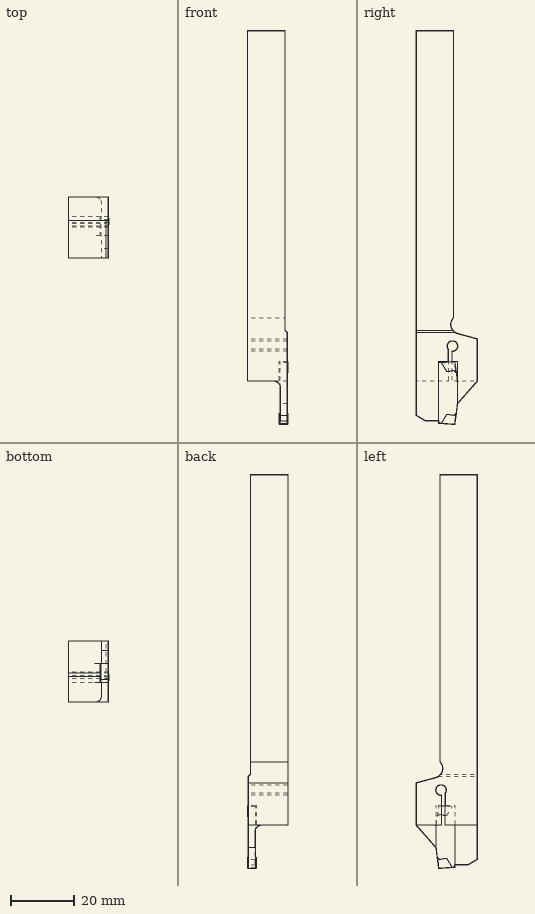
import cadquery as cq
import math

total_length = 125.0
shank_width = 12.0
shank_depth = 11.9

head_side = 12.8
head_depth = 19.4
head_bottom = 13.8
side_step_z = 29.9
blade_thickness = 2.2
blade_face = head_side - blade_thickness
blade_fillet = 2.0
blade_end_z = 1.1
blade_corner_y = 3.0
blade_corner_z = 2.9
jaw_tip_z = 6.6

groove_radius = 3.0
groove_depth = 0.9
groove_center_z = 31.8
jaw_slope = math.radians(15)

slit_width = 1.1
slit_y = 10.8
hole_radius = 1.6
hole_y = 11.5
hole_z = 24.9

insert_length = 20.0
insert_seat_y = 7.1
insert_top_y = 13.1
edge_y = 12.2
edge_width = 3.0
edge_chamfer = 0.2
edge_side = 13.0
edge_center_x = edge_side - edge_width / 2
insert_thickness = 2.2
rake_start_z = 3.5
rake_start_y = 12.8
flank_rise = 0.4
tip_top_y = 12.5
tip_top_z = 3.5
tip_notch_y = 12.0
tip_notch_z = 2.9
tip_shoulder_y = 9.8
tip_shoulder_z = 3.2
tip_foot_y = 8.0


def prism_yz(sketch, x_start, x_end):
    """Extrude a closed YZ outline between two X positions."""
    return sketch.extrude(x_end - x_start).translate((x_start, 0, 0))


def holder_profile():
    """Side outline of the holder, the same through shank, head and blade."""
    center_y = shank_depth - groove_depth + groove_radius
    start_z = groove_center_z + math.sqrt(groove_radius**2 - (center_y - shank_depth) ** 2)
    slope_y = center_y - groove_radius * math.sin(jaw_slope)
    slope_z = groove_center_z - groove_radius * math.cos(jaw_slope)
    jaw_top_z = slope_z - (head_depth - slope_y) * math.tan(jaw_slope)
    return (
        cq.Workplane("YZ")
        .moveTo(0, blade_corner_z)
        .lineTo(0, total_length)
        .lineTo(shank_depth, total_length)
        .lineTo(shank_depth, start_z)
        .threePointArc((center_y - groove_radius, groove_center_z), (slope_y, slope_z))
        .lineTo(head_depth, jaw_top_z)
        .lineTo(head_depth, head_bottom)
        .lineTo(insert_top_y, jaw_tip_z)
        .lineTo(insert_top_y, blade_end_z)
        .lineTo(blade_corner_y, blade_end_z)
        .close()
    )


def holder_front():
    """Front outline: shank, widened head and thin blade with a rounded root."""
    widening = head_side - shank_width
    root_x = blade_face - blade_fillet
    root_z = head_bottom - blade_fillet
    arc_offset = blade_fillet * math.sqrt(0.5)
    return (
        cq.Workplane("XZ")
        .moveTo(0, head_bottom)
        .lineTo(0, total_length)
        .lineTo(shank_width, total_length)
        .lineTo(shank_width, side_step_z)
        .lineTo(head_side, side_step_z - widening)
        .lineTo(head_side, 0)
        .lineTo(blade_face, 0)
        .lineTo(blade_face, root_z)
        .threePointArc((root_x + arc_offset, root_z + arc_offset), (root_x, head_bottom))
        .close()
        .extrude(-head_depth)
    )


def insert_pocket():
    """Seat open toward +X, with the root fillet cleared below the block."""
    seat_width = insert_top_y - insert_seat_y
    seat_x = edge_side - edge_width
    seat = cq.Workplane("XY").box(edge_width, seat_width, insert_length, centered=False)
    clearance = cq.Workplane("XY").box(edge_side, seat_width, head_bottom, centered=False)
    return seat.translate((seat_x, insert_seat_y, 0)).union(clearance.translate((0, insert_seat_y, 0)))


def clamping_slit():
    """Slit and its round end, right through the head along X."""
    hole = cq.Workplane("YZ").center(hole_y, hole_z).circle(hole_radius).extrude(head_side)
    slit = cq.Workplane("XY").box(head_side, slit_width, hole_z, centered=False)
    return hole.union(slit.translate((0, slit_y - slit_width / 2, 0)))


def make_holder():
    holder = prism_yz(holder_profile(), 0, head_side).intersect(holder_front())
    return holder.cut(insert_pocket()).cut(clamping_slit()).solids()


def half_bar_body():
    """Lower half of the straight bar, with a sloped rake face at its end."""
    middle_z = insert_length / 2
    half = (
        cq.Workplane("YZ")
        .moveTo(insert_seat_y, middle_z)
        .lineTo(insert_top_y, middle_z)
        .lineTo(insert_top_y, jaw_tip_z)
        .lineTo(rake_start_y, rake_start_z)
        .lineTo(edge_y, 0)
        .lineTo(insert_seat_y, flank_rise)
        .close()
    )
    start_x = edge_center_x - insert_thickness / 2
    return prism_yz(half, start_x, start_x + insert_thickness)


def cutting_tip():
    """Wide cutting edge at the lower end, narrowing toward the seat, with cut corners."""
    half_edge = edge_width / 2
    half_bar = insert_thickness / 2
    side = (
        cq.Workplane("YZ")
        .moveTo(edge_y, 0)
        .lineTo(tip_top_y, tip_top_z)
        .lineTo(tip_notch_y, tip_notch_z)
        .lineTo(tip_shoulder_y, tip_shoulder_z)
        .lineTo(tip_foot_y, flank_rise)
        .close()
    )
    relief = (
        cq.Workplane("XY")
        .polyline([
            (edge_center_x - half_edge, tip_top_y),
            (edge_center_x + half_edge, tip_top_y),
            (edge_center_x + half_bar, tip_foot_y),
            (edge_center_x - half_bar, tip_foot_y),
        ])
        .close()
        .extrude(tip_top_z)
    )
    corners = (
        cq.Workplane("XY")
        .box(edge_width, insert_top_y, insert_length, centered=(True, False, False))
        .edges("|Y and <Z")
        .chamfer(edge_chamfer)
        .translate((edge_center_x, 0, 0))
    )
    return prism_yz(side, 0, edge_side).intersect(relief).intersect(corners)


def make_insert():
    half = half_bar_body().union(cutting_tip())
    middle = (0, 0, insert_length / 2)
    return half.union(half.mirror("XY", middle)).solids()


holder = make_holder()
insert = make_insert()

result = cq.Compound.makeCompound([holder.val(), insert.val()])